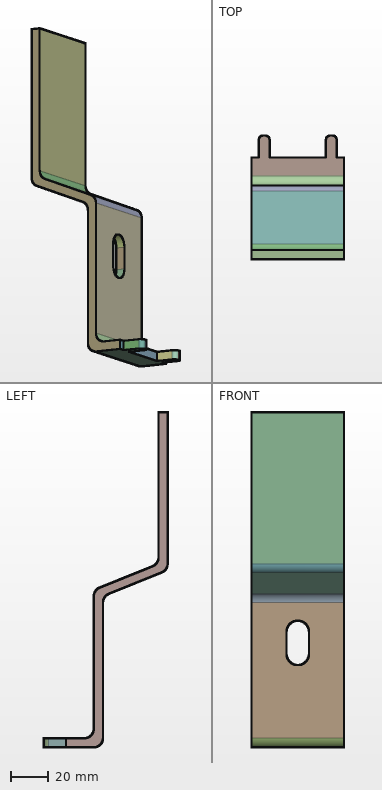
import cadquery as cq
import math

width = 50.0
depth = 67.0
height = 181.0
thickness = 5.0
bend_radius = thickness

plate_offset = 35.0
web_angle = 22.0
upper_corner_z = 95.7

tab_width = 6.0
tab_length = 12.0
tab_tip_radius = 2.5
tab_center_inset = 6.9

slot_width = 12.0
slot_height = 23.9
slot_center_z = 56.5

foot_rear_y = depth - tab_length
web_slope = math.tan(math.radians(web_angle))
web_rise = thickness / math.cos(math.radians(web_angle))


def web_underside_z(y):
    return upper_corner_z - web_slope * y


def bent_strip():
    lower_rear_y = plate_offset + thickness
    outline = [
        (0, height),
        (0, upper_corner_z),
        (plate_offset, web_underside_z(plate_offset)),
        (plate_offset, 0),
        (foot_rear_y, 0),
        (foot_rear_y, thickness),
        (lower_rear_y, thickness),
        (lower_rear_y, web_underside_z(lower_rear_y) + web_rise),
        (thickness, web_underside_z(thickness) + web_rise),
        (thickness, height),
    ]
    strip = cq.Workplane("YZ").polyline(outline).close().extrude(width / 2, both=True)
    end_margin = thickness / 2
    bend_zone = cq.selectors.BoxSelector(
        (-width, -end_margin, -end_margin),
        (width, foot_rear_y - end_margin, height - end_margin),
    )
    return strip.edges("|X").edges(bend_zone).fillet(bend_radius)


def tab(center_x):
    """Tab with rounded tip corners that continues the foot rearward."""
    root_y = foot_rear_y - thickness
    return (
        cq.Workplane("XY")
        .box(tab_width, depth - root_y, thickness, centered=(True, False, False))
        .edges("|Z and >Y")
        .fillet(tab_tip_radius)
        .translate((center_x, root_y, 0))
    )


def slot_cutter():
    return (
        cq.Workplane("XZ")
        .center(0, slot_center_z)
        .slot2D(slot_height, slot_width, 90)
        .extrude(-depth)
    )


result = bent_strip().cut(slot_cutter())
tab_center_x = width / 2 - tab_center_inset
for side in (-1, 1):
    result = result.union(tab(side * tab_center_x))